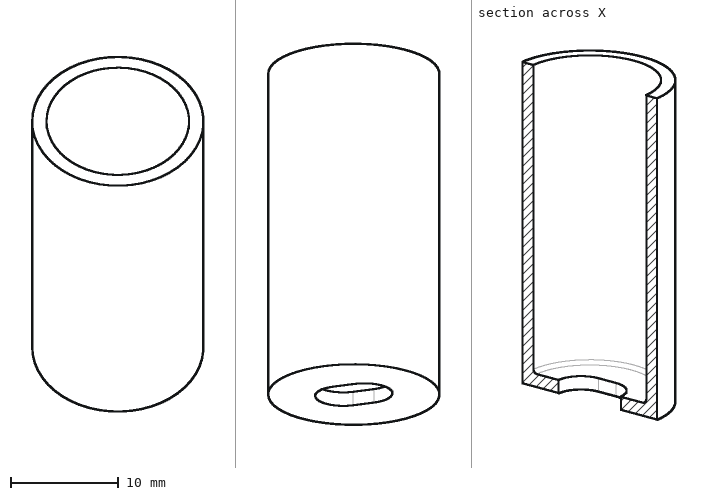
import cadquery as cq

height = 31.75
outer_diameter = 15.88
wall_thickness = 1.33

bore_diameter = outer_diameter - 2 * wall_thickness
floor_thickness = wall_thickness
floor_fillet = 0.38

slot_length = 7.27
slot_width = 5.2

tube = cq.Workplane("XY").circle(outer_diameter / 2).extrude(height)

bore = (
    cq.Workplane("XY")
    .workplane(offset=floor_thickness)
    .circle(bore_diameter / 2)
    .extrude(height - floor_thickness)
    .faces("<Z")
    .edges()
    .fillet(floor_fillet)
)

floor_slot = (
    cq.Workplane("XY")
    .slot2D(slot_length, slot_width, 90)
    .extrude(floor_thickness)
)

result = tube.cut(bore).cut(floor_slot)